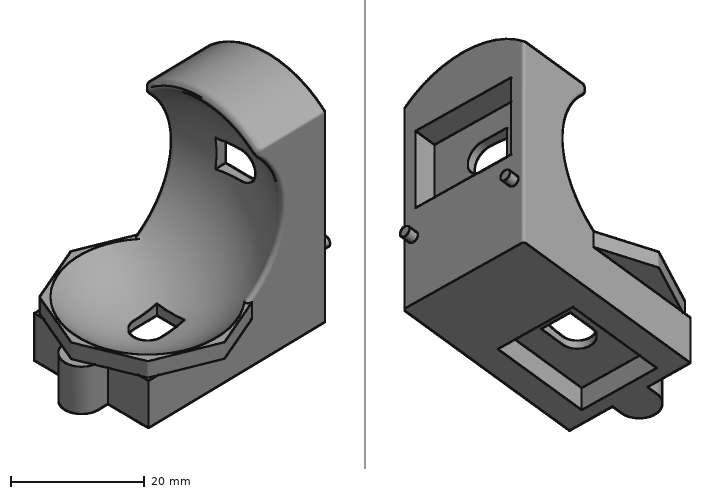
import cadquery as cq
import math

half_width = 12.08
back_y = 25.92
front_y = -12.0
foot_height = 8.85
total_height = 43.9
edge_radius = 0.5
lip_y = 11.3
lip_radius = 1.2
seat_edge_radius = 0.6
wall_toe_y = 8.15

seat_height = back_y
seat_radius = 20.2
roof_radius = total_height - seat_height

rim_top = 11.95
rim_corner_radius = 0.5
rim_width = 32.4
corner_angle = math.radians(22.5)
rim_sharp_radius = rim_width / 2 + rim_corner_radius * (1 / math.cos(corner_angle) - 1)

window_radius = 2.9
window_length = 4.9

recess_length = 19.05
recess_width = 15
recess_depth = 4.3

post_radius = 3.5
post_y = -14.07
pin_diameter = 1.9
pin_spacing = 20.05
pin_height = 12.95
pin_length = 1.9


def select_box(y_range, z_range):
    """Selector for whatever is centred in these ranges, at any X within the block."""
    return cq.selectors.BoxSelector(
        (-half_width - 0.45, y_range[0], z_range[0]), (half_width + 0.45, y_range[1], z_range[1])
    )


def make_wall():
    """Back wall with an arched roof concentric with the seat, hollowed by the seat."""
    shoulder = seat_height + math.sqrt(roof_radius**2 - half_width**2)
    wall = (
        cq.Workplane("XZ", origin=(0, back_y, 0))
        .moveTo(-half_width, 0)
        .lineTo(half_width, 0)
        .lineTo(half_width, shoulder)
        .threePointArc((0, total_height), (-half_width, shoulder))
        .close()
        .extrude(back_y - wall_toe_y)
    )
    shoulder_edges = select_box((wall_toe_y, back_y), (shoulder - 0.45, shoulder + 0.45))
    wall = wall.edges("|Y").edges(shoulder_edges).fillet(edge_radius)
    wall = wall.faces(">Y").edges("not <Z").fillet(edge_radius)

    front_space = cq.Workplane("XY", origin=(0, 0, seat_height)).box(
        4 * half_width, lip_y, total_height, centered=(True, False, False)
    )
    wall = wall.cut(front_space)
    lip_edge = select_box((lip_y - 0.05, lip_y + 0.05), (shoulder + 0.05, total_height))
    wall = wall.edges(lip_edge).fillet(lip_radius)

    wall = wall.cut(make_seat())
    side_arcs = select_box((wall_toe_y, lip_y + seat_radius / 2), (rim_top, total_height))
    return wall.edges("%CIRCLE").edges(side_arcs).edges("<X or >X").fillet(seat_edge_radius)


def make_seat():
    """Ball with its poles along X, clear of the part."""
    return cq.Workplane("YZ", origin=(0, 0, seat_height)).sphere(seat_radius)


def make_foot():
    """Rectangular foot, overlapping the wall, with the rounded front post."""
    overlap_y = back_y - edge_radius
    foot = cq.Workplane("XY", origin=(0, front_y, 0)).box(
        2 * half_width, overlap_y - front_y, foot_height, centered=(True, False, False)
    )
    post = cq.Workplane("XY").center(0, post_y).circle(post_radius).extrude(foot_height)
    neck = cq.Workplane("XY").center(0, post_y / 2).rect(2 * post_radius, -post_y).extrude(foot_height)
    return foot.union(post).union(neck)


def make_rim():
    return (
        cq.Workplane("XY", origin=(0, 0, foot_height))
        .polygon(8, 2 * rim_sharp_radius)
        .extrude(rim_top - foot_height)
        .edges("|Z")
        .fillet(rim_corner_radius)
    )


def make_opening(plane):
    """D window and recess cut inward from an outer face; the D is square towards local -X."""
    window = (
        cq.Workplane(plane)
        .moveTo(0, window_radius)
        .lineTo(-window_length, window_radius)
        .lineTo(-window_length, -window_radius)
        .lineTo(0, -window_radius)
        .threePointArc((window_radius, 0), (0, window_radius))
        .close()
        .extrude(seat_height)
    )
    recess = cq.Workplane(plane).rect(recess_length, recess_width).extrude(recess_depth)
    return window.union(recess)


base = make_foot().union(make_rim()).cut(make_seat())
body = make_wall().union(base)

back_plane = cq.Plane(origin=(0, back_y, seat_height), xDir=(1, 0, 0), normal=(0, -1, 0))
floor_plane = cq.Plane(origin=(0, 0, 0), xDir=(0, -1, 0), normal=(0, 0, 1))
for plane in (back_plane, floor_plane):
    body = body.cut(make_opening(plane))

pins = (
    cq.Workplane("XZ", origin=(0, back_y, pin_height))
    .pushPoints([(-pin_spacing / 2, 0), (pin_spacing / 2, 0)])
    .circle(pin_diameter / 2)
    .extrude(-pin_length)
)
result = body.union(pins)